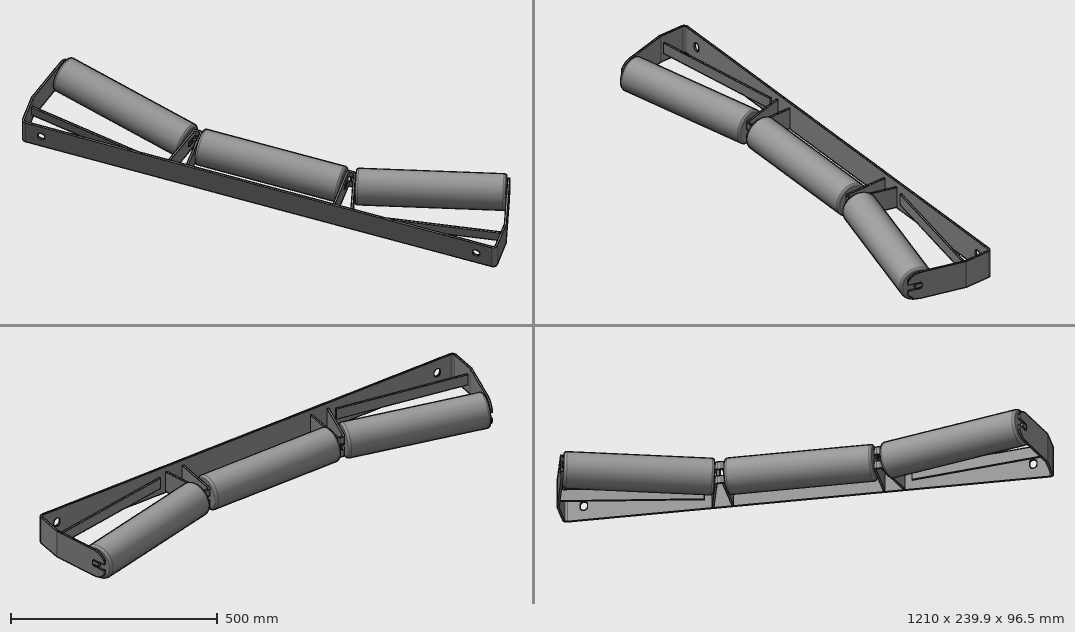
import cadquery as cq
import math

sheet = 5.0

roller_diameter = 90.0
roller_length = 364.0
roller_edge_fillet = 6.0
shaft_radius = 10.0
shaft_flat_width = 12.0
seat_gap = 369.0
shaft_length = seat_gap + 2 * sheet
trough_angle = math.radians(15)
forward_drop = 6.7

slot_width = 18.0
slot_seat_radius = 10.3

frame_length = 1210
frame_width = 76.0
frame_bend_radius = 6.0
arm_bend_height = 79.0
arm_seat_distance = 125.0
arm_rounding_distance = 120.0
arm_tip_distance = 152.0
mount_hole_x = 554.0
mount_hole_width = 18.0
mount_hole_height = 24.0

bracket_bend_radius = 2.0
center_axis_height = 98.0
bracket_height = 123.0
bracket_width = 58.0

brace_width = 30.0
brace_inner_x = 257.0
brace_outer_height = 70.0
brace_inner_height = 11.0

cos_t = math.cos(trough_angle)
sin_t = math.sin(trough_angle)
half_length = frame_length / 2
along_arm = (sin_t, cos_t)
along_wing = (cos_t, -sin_t)
cut_depth = 2 * sheet


def moved(start, direction, distance):
    """Point reached from start by going a distance along a unit direction."""
    return (start[0] + direction[0] * distance, start[1] + direction[1] * distance)


arm_bend = (-half_length, arm_bend_height)
arm_seat = moved(arm_bend, along_arm, arm_seat_distance)
bracket_seat = moved(arm_seat, along_wing, sheet + seat_gap)
wing_middle = moved(arm_seat, along_wing, shaft_length / 2)
forward_angle = math.asin(forward_drop / shaft_length)


def left_normal(start, end):
    """Unit vector pointing to the left of the way from start to end."""
    length = math.dist(start, end)
    return ((start[1] - end[1]) / length, (end[0] - start[0]) / length)


def offset_path(path):
    """Path parallel to the given one, one sheet thickness to its left, with mitred corners."""
    normals = [left_normal(a, b) for a, b in zip(path, path[1:])]
    before = [normals[0]] + normals
    after = normals + [normals[-1]]
    points = []
    for point, n1, n2 in zip(path, before, after):
        scale = sheet / (1 + n1[0] * n2[0] + n1[1] * n2[1])
        points.append((point[0] + (n1[0] + n2[0]) * scale, point[1] + (n1[1] + n2[1]) * scale))
    return points


def bent_sheet(outer_path, width, bend_radius):
    """Sheet strip whose outer face follows the path, with the inner face on its left."""
    inner_path = offset_path(outer_path)
    strip = (
        cq.Workplane("XY")
        .polyline(outer_path + inner_path[::-1])
        .close()
        .extrude(width / 2, both=True)
    )
    for path, radius in ((outer_path, bend_radius + sheet), (inner_path, bend_radius)):
        for x, y in path[1:-1]:
            corner = cq.selectors.NearestToPointSelector((x, y, 0))
            strip = strip.edges("|Z").edges(corner).fillet(radius)
    return strip


def plate_plane(seat, direction, seat_z):
    """Plane with its origin on the shaft axis, local X along the plate and normal along the shaft."""
    upward = (-direction[1], direction[0], 0)
    return cq.Plane(
        origin=(seat[0], seat[1], seat_z), xDir=upward, normal=(direction[0], direction[1], 0)
    )


def shaft_slot(plane, reach):
    """Cutter for a slot that opens toward the plate's tip and ends in a round seat for the shaft."""
    half = slot_width / 2
    seat_edge = math.sqrt(slot_seat_radius**2 - half**2)
    return (
        cq.Workplane(plane)
        .moveTo(reach, -half)
        .lineTo(-seat_edge, -half)
        .threePointArc((-slot_seat_radius, 0), (-seat_edge, half))
        .lineTo(reach, half)
        .close()
        .extrude(cut_depth, both=True)
    )


def mirrored(body):
    """Copy of a left-hand body on the right-hand side."""
    return body.mirror("YZ")


def make_frame():
    left_tip = moved(arm_bend, along_arm, arm_tip_distance)
    left_half = [left_tip, arm_bend, (-half_length, 0)]
    right_half = [(-x, y) for x, y in left_half[::-1]]
    frame = bent_sheet(left_half + right_half, frame_width, frame_bend_radius)

    rounding_center = moved(arm_bend, along_arm, arm_rounding_distance)
    rounding_plane = plate_plane(rounding_center, along_wing, 0)
    tip_reach = arm_tip_distance - arm_rounding_distance + sheet
    round_end = cq.Workplane(rounding_plane).circle(frame_width / 2).extrude(cut_depth, both=True)
    tip_waste = (
        cq.Workplane(rounding_plane)
        .center(tip_reach / 2, 0)
        .rect(tip_reach, 2 * frame_width)
        .extrude(cut_depth, both=True)
        .cut(round_end)
    )

    slot = shaft_slot(plate_plane(arm_seat, along_wing, 0), tip_reach)
    for cutter in (tip_waste, slot):
        frame = frame.cut(cutter).cut(mirrored(cutter))

    holes = (
        cq.Workplane("XZ")
        .pushPoints([(-mount_hole_x, 0), (mount_hole_x, 0)])
        .slot2D(mount_hole_height, mount_hole_width, 90)
        .extrude(cut_depth, both=True)
    )
    return frame.cut(holes)


def make_left_bracket():
    inner_x = -seat_gap / 2
    foot = moved(bracket_seat, along_arm, (sheet - bracket_seat[1]) / cos_t)
    top = moved(bracket_seat, along_arm, (bracket_height - bracket_seat[1]) / cos_t)
    outer_path = [(inner_x, sheet), (inner_x, bracket_height), top, foot]
    bracket = bent_sheet(outer_path, bracket_width, bracket_bend_radius)

    base_trim = cq.Workplane("XY").box(frame_length, 2 * sheet, frame_width)
    bracket = bracket.cut(base_trim).translate((0, 0, -forward_drop))

    wing_plane = plate_plane(bracket_seat, along_wing, -forward_drop)
    center_plane = plate_plane((inner_x, center_axis_height), (1, 0), -forward_drop)
    for plane in (wing_plane, center_plane):
        bracket = bracket.cut(shaft_slot(plane, bracket_height))
    return bracket


def make_left_brace():
    outer_x = -half_length + sheet
    slope = math.atan2(brace_outer_height - brace_inner_height, -outer_x - brace_inner_x)
    drop = sheet / math.cos(slope)
    return (
        cq.Workplane("XY")
        .polyline([
            (outer_x, brace_outer_height),
            (outer_x, brace_outer_height - drop),
            (-brace_inner_x, brace_inner_height - drop),
            (-brace_inner_x, brace_inner_height),
        ])
        .close()
        .extrude(brace_width / 2, both=True)
    )


def make_roller():
    """Roller with its shaft, centred on the origin along X."""
    shell = (
        cq.Workplane("YZ", origin=(-roller_length / 2, 0, 0))
        .circle(roller_diameter / 2)
        .extrude(roller_length)
        .edges()
        .fillet(roller_edge_fillet)
    )
    shaft = cq.Workplane("YZ", origin=(-shaft_length / 2, 0, 0)).circle(shaft_radius).extrude(shaft_length)
    flats = cq.Workplane("XY").box(shaft_length, 2 * shaft_radius, shaft_flat_width)
    return shell.union(shaft.intersect(flats))


def make_left_wing_roller():
    return (
        make_roller()
        .rotate((0, 0, 0), (0, 1, 0), math.degrees(forward_angle))
        .rotate((0, 0, 0), (0, 0, 1), -math.degrees(trough_angle))
        .translate((wing_middle[0], wing_middle[1], -forward_drop / 2))
    )


frame = make_frame()
center_roller = make_roller().translate((0, center_axis_height, -forward_drop))

bodies = [frame, center_roller]
for left_body in (make_left_bracket(), make_left_brace(), make_left_wing_roller()):
    bodies += [left_body, mirrored(left_body)]

result = cq.Compound.makeCompound([body.val() for body in bodies])